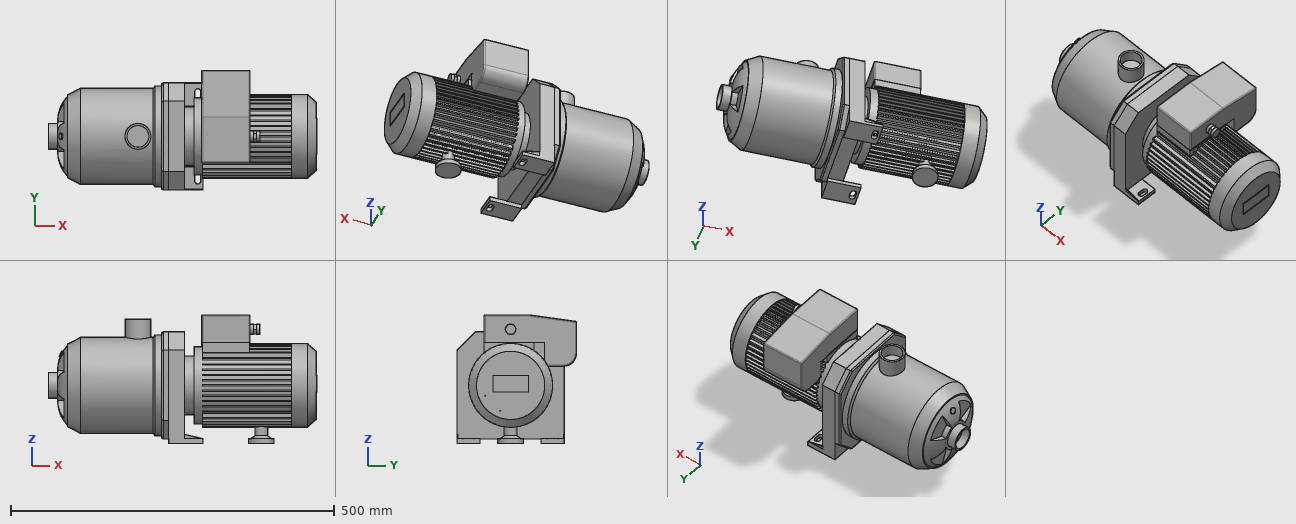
import cadquery as cq
import math


PIPE_OD = 40.0
PIPE_BORE = 33.7
INLET_LENGTH = 14.0
INLET_DEPTH = 14.0
HUB_RADIUS = 25.0
DOME_MID_X = 17.6
DOME_MID_RADIUS = 43.0
DOME_END_RADIUS = 61.7
SHOULDER_X = 29.2
SHOULDER_RADIUS = 64.0
BARREL_START_X = 49.4
BARREL_END_X = 162.0
BARREL_RADIUS = 149.0 / 2
COLLAR_X = 164.8
COLLAR_RADIUS = 156.5 / 2
POCKET_FLOOR_X = 23.7
POCKET_COUNT = 4
POCKET_ANGLE = 45.0
OUTLET_X = 138.4
OUTLET_TOP_Z = 102.5
OUTLET_DEPTH = 20.0

PLUG_DIAMETER = 10.0
PLUG_RADIAL_POSITION = 48.5
PLUG_X = 19.5
PLUG_TILT = 25.0
PLUG_STAND_OUT = 1.2
PLUG_LENGTH = 8.0

FLANGE_X = 175.2
BRACKET_X = 185.8
BRACKET_END_X = 210.5
HALF_WIDTH = 83.0
CORNER_CUT = 28.4
FLANGE_BEVEL_DEPTH = 2.4
FLANGE_BEVEL_INSET = 1.5
BASE_Z = -90.0
FOOT_END_X = 239.3
FOOT_INNER_Y = 47.0
FOOT_TIP_Z = -82.5
FOOT_ROOT_Z = -75.6
FOOT_WALL = 1.5
SLOT_WIDTH = 9.0
SLOT_LENGTH = 17.0
SLOT_X = 231.0
SLOT_Y = 65.0

SPIGOT_DIAMETER = 91.0
MOTOR_FLANGE_DIAMETER = 120.0
MOTOR_FLANGE_X = 225.3
MOTOR_X = 238.0
MOTOR_RADIUS = 130.0 / 2
FIN_ROOT_RADIUS = MOTOR_FLANGE_DIAMETER / 2
FIN_PITCH = 8.1
FIN_THICKNESS = 2.0
FINS_EACH_SIDE_OF_CENTRE = 5
PEDESTAL_LENGTH = 72.7
PEDESTAL_NEAR_Y = -41.0
PEDESTAL_FAR_Y = 36.0
PEDESTAL_BOTTOM_Z = 50.6

COVER_X = 375.7
COVER_CONE_X = 400.6
COVER_END_X = 414.3
COVER_END_RADIUS = 52.8

OVERALL_LENGTH = 415.4
PLATE_WIDTH = 55.0
PLATE_HEIGHT = 25.0
PLATE_CENTRE_Z = 2.5

BOX_X = 236.8
BOX_END_X = 312.0
BOX_BOTTOM_Z = 66.0
BOX_TOP_Z = 109.0
BOX_NEAR_Y = -41.2
BOX_FAR_Y = 102.0
BOX_RIDGE_Y = 30.0
BOX_FAR_TOP_Z = 99.0
BOX_SKIRT_Y = 52.5
BOX_SKIRT_Z = 29.6
BOX_SKIRT_RADIUS = 20.0
BOX_EDGE_RADIUS = 2.0

GLAND_DIAMETER = 16.0
GLAND_HEX_CORNER_DIAMETER = 17.3
GLAND_Z = 86.8
GLAND_END_X = 327.0
GLAND_HEX_START_X = 317.0
GLAND_HEX_END_X = 322.0

SUPPORT_X = 329.2
SUPPORT_DISC_RADIUS = 40.0 / 2
SUPPORT_DISC_TOP_Z = -82.4
SUPPORT_CONE_RADIUS = 16.0
SUPPORT_CONE_TOP_Z = -77.8
SUPPORT_STEM_RADIUS = 20.0 / 2
SUPPORT_TOP_Z = -58.0


def cylinder_x(start, end, radius):
    """Cylinder along the pump axis."""
    return cq.Workplane("YZ").workplane(offset=start).circle(radius).extrude(end - start)


def box_between(x_range, y_range, z_range):
    """Axis-aligned block between the given limits."""
    sizes = [high - low for low, high in (x_range, y_range, z_range)]
    block = cq.Workplane("XY").box(*sizes, centered=False)
    return block.translate((x_range[0], y_range[0], z_range[0]))


def make_nose_pockets():
    """Four flat-floored sectors left between the ribs of the domed nose."""
    half_angle = math.radians(POCKET_ANGLE / 2)
    corner = (BARREL_RADIUS * math.cos(half_angle), BARREL_RADIUS * math.sin(half_angle))
    sector = (
        cq.Workplane("YZ")
        .moveTo(0, 0)
        .lineTo(*corner)
        .lineTo(corner[0], -corner[1])
        .close()
        .extrude(POCKET_FLOOR_X)
        .cut(cylinder_x(0, POCKET_FLOOR_X, HUB_RADIUS))
    )
    step = 360.0 / POCKET_COUNT
    pockets = cq.Workplane("YZ")
    for i in range(POCKET_COUNT):
        angle = (i + 0.5) * step
        pockets = pockets.add(sector.rotate((0, 0, 0), (1, 0, 0), angle))
    return pockets.combine()


def make_casing(plug):
    """Domed barrel with the axial inlet pipe and the vertical outlet pipe."""
    body = (
        cq.Workplane("XY")
        .moveTo(INLET_LENGTH, 0)
        .lineTo(INLET_LENGTH, HUB_RADIUS)
        .threePointArc((DOME_MID_X, DOME_MID_RADIUS), (SHOULDER_X, DOME_END_RADIUS))
        .lineTo(SHOULDER_X, SHOULDER_RADIUS)
        .lineTo(BARREL_START_X, BARREL_RADIUS)
        .lineTo(BARREL_END_X, BARREL_RADIUS)
        .lineTo(COLLAR_X, COLLAR_RADIUS)
        .lineTo(FLANGE_X, COLLAR_RADIUS)
        .lineTo(FLANGE_X, 0)
        .close()
        .revolve(360, (0, 0, 0), (1, 0, 0))
    )
    body = body.cut(make_nose_pockets())
    inlet = cylinder_x(0, INLET_LENGTH, PIPE_OD / 2)
    inlet_bore = cylinder_x(0, INLET_DEPTH, PIPE_BORE / 2)
    outlet = cq.Workplane("XY").center(OUTLET_X, 0).circle(PIPE_OD / 2).extrude(OUTLET_TOP_Z)
    outlet_bore = (
        cq.Workplane("XY", origin=(OUTLET_X, 0, OUTLET_TOP_Z))
        .circle(PIPE_BORE / 2)
        .extrude(-OUTLET_DEPTH)
    )
    return body.union(inlet).union(outlet).cut(inlet_bore).cut(outlet_bore).cut(plug)


def make_plug():
    """Round vent plug set square to the dome surface above the inlet."""
    tilt = math.radians(PLUG_TILT)
    outward = cq.Vector(-math.cos(tilt), 0, math.sin(tilt))
    seat = cq.Vector(PLUG_X, 0, PLUG_RADIAL_POSITION)
    inner_end = seat + outward * (PLUG_STAND_OUT - PLUG_LENGTH)
    return cq.Workplane(obj=cq.Solid.makeCylinder(PLUG_DIAMETER / 2, PLUG_LENGTH, inner_end, outward))


def octagon_points(half_width):
    """Corners, in order, of a square with cut corners."""
    flat = half_width - CORNER_CUT
    quarter = [(half_width, -flat), (half_width, flat)]
    points = []
    for _ in range(4):
        points += quarter
        quarter = [(-z, y) for y, z in quarter]
    return points


def make_flange():
    """Octagonal plate between the casing and the bracket, with a bevelled front edge."""
    plate = (
        cq.Workplane("YZ", origin=(FLANGE_X + FLANGE_BEVEL_DEPTH, 0, 0))
        .polyline(octagon_points(HALF_WIDTH))
        .close()
        .extrude(BRACKET_X - FLANGE_X - FLANGE_BEVEL_DEPTH)
    )
    bevel = (
        cq.Workplane("YZ", origin=(FLANGE_X, 0, 0))
        .polyline(octagon_points(HALF_WIDTH - FLANGE_BEVEL_INSET))
        .close()
        .workplane(offset=FLANGE_BEVEL_DEPTH)
        .polyline(octagon_points(HALF_WIDTH))
        .close()
        .loft(ruled=True)
    )
    return plate.union(bevel)


def make_bracket_foot(side):
    """Slotted foot; its outer edge carries a thin gusset wall. side is +1 or -1 along Y."""
    inner_y = side * FOOT_INNER_Y
    outer_y = side * HALF_WIDTH
    y_range = sorted((inner_y, outer_y))
    sole = box_between((BRACKET_X, FOOT_END_X), y_range, (BASE_Z, FOOT_TIP_Z))
    gusset = (
        cq.Workplane("XZ", origin=(0, outer_y, 0))
        .moveTo(BRACKET_END_X, FOOT_TIP_Z)
        .lineTo(FOOT_END_X, FOOT_TIP_Z)
        .lineTo(BRACKET_END_X, FOOT_ROOT_Z)
        .close()
        .extrude(side * FOOT_WALL)
    )
    slot = (
        cq.Workplane("XY", origin=(SLOT_X, side * SLOT_Y, BASE_Z))
        .slot2D(SLOT_LENGTH, SLOT_WIDTH, 90)
        .extrude(FOOT_TIP_Z - BASE_Z)
    )
    return sole.union(gusset).cut(slot)


def make_bracket():
    """Upright plate with two cut top corners and a foot on each side."""
    side = 2 * HALF_WIDTH
    bracket = (
        cq.Workplane("YZ")
        .workplane(offset=BRACKET_X)
        .rect(side, side)
        .extrude(BRACKET_END_X - BRACKET_X)
        .edges("|X and >Z")
        .chamfer(CORNER_CUT)
    )
    for y_side in (-1, 1):
        bracket = bracket.union(make_bracket_foot(y_side))
    return bracket


def make_fins():
    """Upright and level fins at one pitch, trimmed to the round motor outline."""
    diameter = 2 * MOTOR_RADIUS
    length = COVER_X - MOTOR_X
    count = FINS_EACH_SIDE_OF_CENTRE
    places = [i * FIN_PITCH for i in range(-count, count + 1)]
    fin_frame = cq.Workplane("YZ").workplane(offset=MOTOR_X)
    upright = fin_frame.pushPoints([(p, 0) for p in places]).rect(FIN_THICKNESS, diameter).extrude(length)
    level = fin_frame.pushPoints([(0, p) for p in places]).rect(diameter, FIN_THICKNESS).extrude(length)
    return upright.union(level).intersect(cylinder_x(MOTOR_X, COVER_X, MOTOR_RADIUS))


def make_motor(support):
    """Stepped mounting end, finned barrel and the pedestal of the terminal box."""
    spigot = cylinder_x(BRACKET_END_X, MOTOR_FLANGE_X, SPIGOT_DIAMETER / 2)
    barrel = cylinder_x(MOTOR_FLANGE_X, COVER_X, FIN_ROOT_RADIUS)
    pedestal = box_between(
        (MOTOR_X, MOTOR_X + PEDESTAL_LENGTH),
        (PEDESTAL_NEAR_Y, PEDESTAL_FAR_Y),
        (PEDESTAL_BOTTOM_Z, BOX_BOTTOM_Z),
    )
    return spigot.union(barrel).union(make_fins()).union(pedestal).cut(support)


def make_fan_cover():
    """Round cover with a conical rear edge."""
    return (
        cq.Workplane("XY")
        .moveTo(COVER_X, 0)
        .lineTo(COVER_X, MOTOR_RADIUS)
        .lineTo(COVER_CONE_X, MOTOR_RADIUS)
        .lineTo(COVER_END_X, COVER_END_RADIUS)
        .lineTo(COVER_END_X, 0)
        .close()
        .revolve(360, (0, 0, 0), (1, 0, 0))
    )


def make_nameplate():
    """Thin rectangular plate on the rear of the fan cover."""
    return (
        cq.Workplane("YZ", origin=(COVER_END_X, 0, PLATE_CENTRE_Z))
        .rect(PLATE_WIDTH, PLATE_HEIGHT)
        .extrude(OVERALL_LENGTH - COVER_END_X)
    )


def make_terminal_box():
    """Box on the pedestal, with a skirt reaching down one side of the motor."""
    body = (
        cq.Workplane("YZ")
        .workplane(offset=BOX_X)
        .moveTo(BOX_NEAR_Y, BOX_BOTTOM_Z)
        .lineTo(BOX_NEAR_Y, BOX_TOP_Z)
        .lineTo(BOX_RIDGE_Y, BOX_TOP_Z)
        .lineTo(BOX_FAR_Y, BOX_FAR_TOP_Z)
        .lineTo(BOX_FAR_Y, BOX_SKIRT_Z + BOX_SKIRT_RADIUS)
        .radiusArc((BOX_FAR_Y - BOX_SKIRT_RADIUS, BOX_SKIRT_Z), BOX_SKIRT_RADIUS)
        .lineTo(BOX_SKIRT_Y, BOX_SKIRT_Z)
        .lineTo(BOX_SKIRT_Y, BOX_BOTTOM_Z)
        .close()
        .extrude(BOX_END_X - BOX_X)
    )
    upper_edges = cq.selectors.BoxSelector(
        (BOX_X - 1, BOX_NEAR_Y - 1, BOX_BOTTOM_Z + 1),
        (BOX_END_X + 1, BOX_FAR_Y + 1, BOX_TOP_Z + 1),
    )
    ridge = cq.selectors.BoxSelector(
        (BOX_X + 1, BOX_RIDGE_Y - 1, BOX_TOP_Z - 1),
        (BOX_END_X - 1, BOX_RIDGE_Y + 1, BOX_TOP_Z + 1),
    )
    body = body.edges(upper_edges - ridge).fillet(BOX_EDGE_RADIUS)
    return body.cut(cylinder_x(BOX_X, BOX_END_X, MOTOR_RADIUS))


def make_gland():
    """Cable gland: two round collars with a hexagon between them."""
    frame = cq.Workplane("YZ", origin=(BOX_END_X, 0, GLAND_Z))
    inner_collar = frame.circle(GLAND_DIAMETER / 2).extrude(GLAND_HEX_START_X - BOX_END_X)
    hexagon = inner_collar.faces(">X").workplane().polygon(6, GLAND_HEX_CORNER_DIAMETER)
    with_hexagon = hexagon.extrude(GLAND_HEX_END_X - GLAND_HEX_START_X)
    outer_collar = with_hexagon.faces(">X").workplane().circle(GLAND_DIAMETER / 2)
    return outer_collar.extrude(GLAND_END_X - GLAND_HEX_END_X)


def make_support():
    """Disc foot whose stem is seated in the underside of the motor."""
    return (
        cq.Workplane("XZ")
        .moveTo(0, BASE_Z)
        .lineTo(SUPPORT_DISC_RADIUS, BASE_Z)
        .lineTo(SUPPORT_DISC_RADIUS, SUPPORT_DISC_TOP_Z)
        .lineTo(SUPPORT_CONE_RADIUS, SUPPORT_DISC_TOP_Z)
        .lineTo(SUPPORT_STEM_RADIUS, SUPPORT_CONE_TOP_Z)
        .lineTo(SUPPORT_STEM_RADIUS, SUPPORT_TOP_Z)
        .lineTo(0, SUPPORT_TOP_Z)
        .close()
        .revolve(360, (0, 0, 0), (0, 1, 0))
        .translate((SUPPORT_X, 0, 0))
    )


plug = make_plug()
support = make_support()
casing = make_casing(plug)
flange = make_flange()
bracket = make_bracket()
motor = make_motor(support)
fan_cover = make_fan_cover()
nameplate = make_nameplate()
terminal_box = make_terminal_box()
gland = make_gland()

result = cq.Compound.makeCompound(
    [
        casing.val(),
        plug.val(),
        flange.val(),
        bracket.val(),
        motor.val(),
        fan_cover.val(),
        nameplate.val(),
        terminal_box.val(),
        gland.val(),
        support.val(),
    ]
)